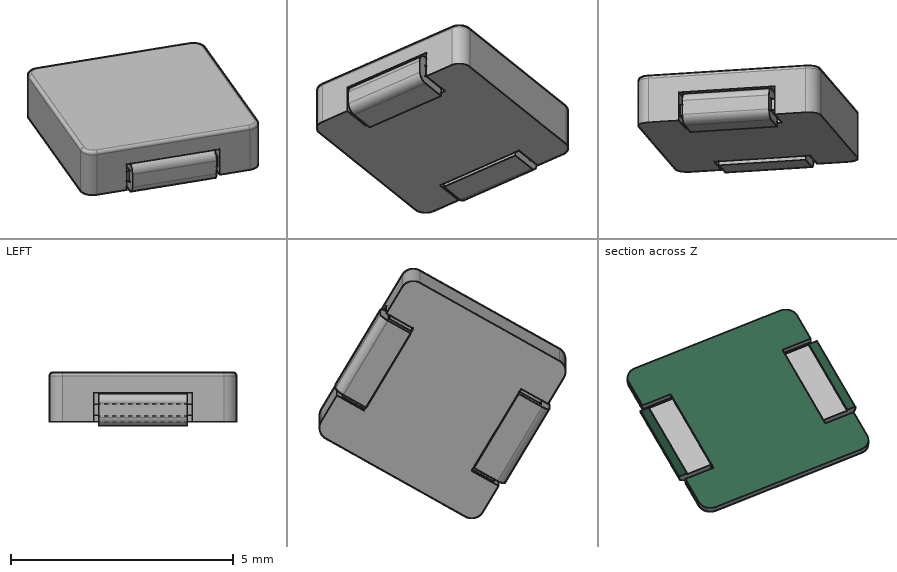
import cadquery as cq

overall_length = 4.4
overall_height = 1.2

housing_side = 4.2
standoff = 0.09
housing_height = overall_height - standoff
corner_radius = 0.29
top_edge_radius = 0.08

terminal_width = 1.998
terminal_height = 0.72
terminal_reach = 0.8
terminal_thickness = 0.21
terminal_bend_radius = 0.2

side_gap = 0.105
channel_gap = 0.02


def box_between(x_min, x_max, z_min, z_max, width):
    """Box spanning the given X and Z ranges, centred on Y = 0."""
    return (
        cq.Workplane("XY")
        .box(x_max - x_min, width, z_max - z_min, centered=(False, True, False))
        .translate((x_min, 0, z_min))
    )


def mirrored_to_side(shape, side):
    """Place a shape built at the -X end on the given side, -1 or +1."""
    return shape if side < 0 else shape.mirror("YZ")


def make_terminal(side):
    """C-shaped terminal, open toward the middle of the housing."""
    outer_x = -overall_length / 2
    end_x = outer_x + terminal_reach
    strip = box_between(outer_x, end_x, 0, terminal_height, terminal_width)
    strip = strip.edges("<X and |Y").fillet(terminal_bend_radius)
    opening = box_between(
        outer_x + terminal_thickness,
        end_x,
        terminal_thickness,
        terminal_height - terminal_thickness,
        terminal_width,
    )
    return mirrored_to_side(strip.cut(opening), side)


def make_channel(side):
    """C-shaped clearance channel, leaving the block that the terminal wraps."""
    outer_x = -overall_length / 2
    end_x = outer_x + terminal_reach
    width = terminal_width + 2 * side_gap
    channel = box_between(outer_x, end_x, 0, terminal_height + channel_gap, width)
    wrapped_block = box_between(
        outer_x + terminal_thickness + channel_gap,
        end_x,
        terminal_thickness + channel_gap,
        terminal_height - terminal_thickness - channel_gap,
        width,
    )
    return mirrored_to_side(channel.cut(wrapped_block), side)


def make_housing():
    """Square block with rounded corners, softened top edge and two channels."""
    half_side = housing_side / 2
    block = box_between(-half_side, half_side, standoff, standoff + housing_height, housing_side)
    block = block.edges("|Z").fillet(corner_radius)
    block = block.faces(">Z").edges().fillet(top_edge_radius)
    for side in (-1, 1):
        block = block.cut(make_channel(side))
    return block


housing = make_housing()
terminals = [make_terminal(side) for side in (-1, 1)]

result = cq.Compound.makeCompound(
    [
        *housing.solids().vals(),
        *[solid for terminal in terminals for solid in terminal.solids().vals()],
    ]
)